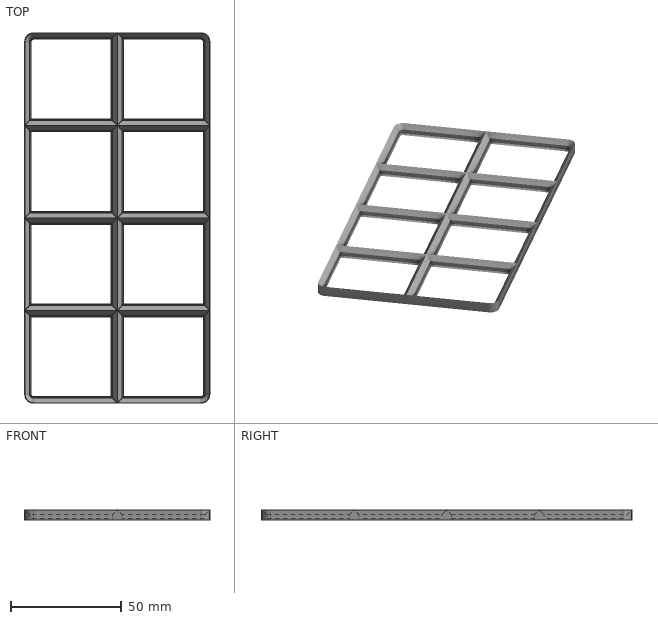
import cadquery as cq

columns = 2
rows = 4
pitch = 42.0
width = columns * pitch
length = rows * pitch

lower_slope = 0.7
upright_band = 1.8
upper_slope = 2.2
slope_angle = 45.0
height = lower_slope + upright_band + upper_slope

corner_radius = 4.0


def cell_outline(inset, z, side_x, side_y):
    """Square cell moved inwards by inset, rounded only where it sits in a corner of the frame."""
    side = pitch - 2 * inset
    outline = cq.Sketch().rect(side, side)
    if side_x and side_y:
        frame_corner = cq.selectors.NearestToPointSelector((side_x * pitch, side_y * pitch, 0))
        outline = outline.vertices(frame_corner).fillet(corner_radius - inset).reset()
    return cq.Workplane("XY", origin=(0, 0, z)).placeSketch(outline)


def cell_opening(side_x, side_y):
    """Through opening of one cell, its walls following the rib profile."""
    mouth = cell_outline(0, height, side_x, side_y)
    throat = cell_outline(upper_slope, lower_slope, side_x, side_y)

    top = mouth.extrude(-upper_slope, taper=slope_angle)
    band = throat.extrude(upright_band)
    bottom = throat.extrude(-lower_slope, taper=slope_angle)
    return top.union(band).union(bottom)


def outer_side(index, count):
    """-1 for the first cell of a line, 1 for the last, 0 for those between."""
    if index == 0:
        return -1
    if index == count - 1:
        return 1
    return 0


frame = cq.Workplane("XY").box(width, length, height, centered=(True, True, False))
frame = frame.edges("|Z").fillet(corner_radius)

for column in range(columns):
    for row in range(rows):
        centre_x = (column + 0.5) * pitch - width / 2
        centre_y = (row + 0.5) * pitch - length / 2
        opening = cell_opening(outer_side(column, columns), outer_side(row, rows))
        frame = frame.cut(opening.translate((centre_x, centre_y, 0)))

result = frame